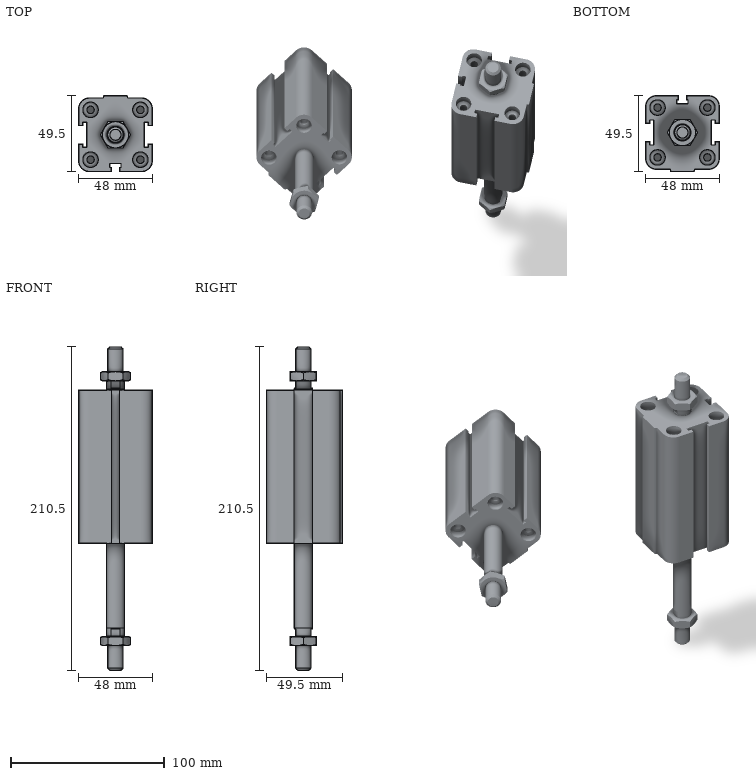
import cadquery as cq
import math

width = 48.0
height = 99.5
corner_radius = 7.2
half_width = width / 2

strip_rise = 1.5
strip_top_width = 15.2
strip_base_width = 16.0

slot_floor = 18.7
narrow_opening = 5.5
narrow_inner_width = 7.2
narrow_lip = 2.7
wide_opening = 12.0
wide_inner_width = 16.0
wide_lip = 2.7

hole_offset = 16.2
hole_diameter = 4.8
counterbore_diameter = 10.0
counterbore_depth = 6.3
hole_depth = 14.5

total_length = 210.5
lower_reach = 82.7
rod_diameter = 12.0
neck_diameter = 11.8
thread_diameter = 10.0
flat_width = 10.0
shoulder_from_tip = 27.5
flats_from_tip = 27.0
neck_end_from_tip = 22.3
tip_chamfer = 1.5

nut_across_flats = 17.0
nut_thickness = 5.9
nut_from_tip = 16.2
nut_chamfer_angle = 30.0
nut_countersink_diameter = 11.0

lower_tip = -lower_reach
rod_middle = lower_tip + total_length / 2
nut_inner_from_tip = nut_from_tip + nut_thickness


def cylinder(diameter, bottom, top):
    """Solid cylinder on the Z axis between two heights."""
    return cq.Workplane("XY").workplane(offset=bottom).circle(diameter / 2).extrude(top - bottom)


def t_slot(opening, inner_width, lip):
    """Cutter for a T-slot in the -Y side, running the full height of the housing."""
    mouth = cq.Workplane("XY").rect(opening, half_width - slot_floor).extrude(height)
    mouth = mouth.translate((0, -(half_width + slot_floor) / 2, 0))
    inner_depth = half_width - slot_floor - lip
    inner = cq.Workplane("XY").rect(inner_width, inner_depth).extrude(height)
    inner = inner.translate((0, -slot_floor - inner_depth / 2, 0))
    return mouth.union(inner)


def make_housing():
    body = cq.Workplane("XY").rect(width, width).extrude(height).edges("|Z").fillet(corner_radius)

    strip_outline = [
        (-strip_base_width / 2, half_width),
        (strip_base_width / 2, half_width),
        (strip_top_width / 2, half_width + strip_rise),
        (-strip_top_width / 2, half_width + strip_rise),
    ]
    body = body.union(cq.Workplane("XY").polyline(strip_outline).close().extrude(height))

    body = body.cut(t_slot(narrow_opening, narrow_inner_width, narrow_lip))
    wide_slot = t_slot(wide_opening, wide_inner_width, wide_lip)
    for angle in (-90, 90):
        body = body.cut(wide_slot.rotate((0, 0, 0), (0, 0, 1), angle))

    for end_face in (">Z", "<Z"):
        body = (
            body.faces(end_face)
            .workplane(origin=(0, 0, 0))
            .rect(2 * hole_offset, 2 * hole_offset, forConstruction=True)
            .vertices()
            .cboreHole(hole_diameter, counterbore_diameter, counterbore_depth, depth=hole_depth)
        )

    return body.cut(cylinder(rod_diameter, 0, height))


def rod_lower_half():
    """Half of the rod, from its lower tip to its middle."""
    shoulder = lower_tip + shoulder_from_tip
    flats_end = lower_tip + flats_from_tip
    neck_end = lower_tip + neck_end_from_tip

    shaft = cylinder(rod_diameter, shoulder, rod_middle)
    neck = cylinder(neck_diameter, neck_end, shoulder)
    flat_band = (
        cq.Workplane("XY")
        .workplane(offset=neck_end)
        .rect(rod_diameter, flat_width)
        .extrude(flats_end - neck_end)
    )
    neck = neck.intersect(flat_band.union(cylinder(rod_diameter, flats_end, shoulder)))
    thread = cylinder(thread_diameter, lower_tip, neck_end).faces("<Z").chamfer(tip_chamfer)
    return shaft.union(neck).union(thread)


def make_rod():
    lower_half = rod_lower_half()
    upper_half = lower_half.mirror("XY", (0, 0, rod_middle))
    return lower_half.union(upper_half)


def make_nut(bottom):
    """Hexagonal nut with corners on the X axis, chamfered on both faces."""
    across_corners = nut_across_flats / math.cos(math.pi / 6)
    nut = cq.Workplane("XY").polygon(6, across_corners).extrude(nut_thickness)

    corner_run = (across_corners - nut_across_flats) / 2
    corner_drop = corner_run * math.tan(math.radians(nut_chamfer_angle))
    turned_blank = (
        cylinder(across_corners, 0, nut_thickness)
        .faces("<Z or >Z")
        .chamfer(corner_drop, corner_run)
    )
    nut = nut.intersect(turned_blank)

    countersink = (nut_countersink_diameter - thread_diameter) / 2
    bore = cylinder(thread_diameter, 0, nut_thickness)
    nut = nut.cut(bore)
    bore_rims = nut.edges(cq.selectors.RadiusNthSelector(0))
    nut = bore_rims.chamfer(countersink)
    return nut.translate((0, 0, bottom))


housing = make_housing()
rod = make_rod()
nut_bottoms = (
    lower_tip + nut_from_tip,
    lower_tip + total_length - nut_inner_from_tip,
)
nuts = [make_nut(bottom) for bottom in nut_bottoms]

result = cq.Compound.makeCompound([housing.val(), rod.val(), *[nut.val() for nut in nuts]])